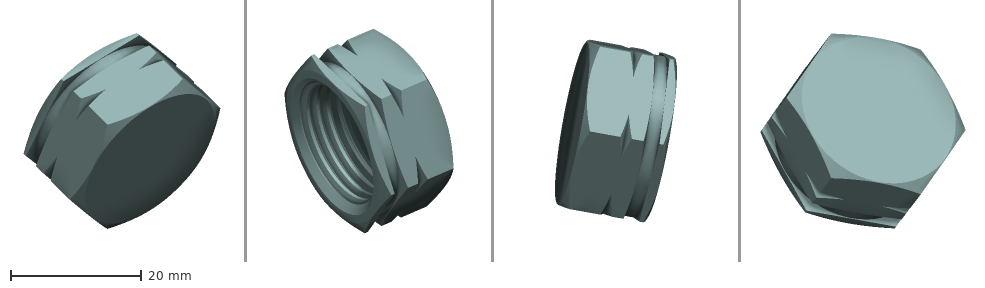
import cadquery as cq
import math

ACROSS_FLATS = 25.4
LENGTH = 13.72
CORNER_RADIUS = ACROSS_FLATS / 2 / math.cos(math.radians(30))
FACE_RADIUS = 12.6
OPEN_END_ANGLE = 26
CLOSED_END_ANGLE = 30

FLANGE_LENGTH = 1.6
GROOVE_END = 3.55
GROOVE_RADIUS = FACE_RADIUS
GROOVE_SHOULDER_ANGLE = 15

NOTCH_X = LENGTH / 2
NOTCH_RADIUS = 13.08
NOTCH_HALF_ANGLE = 30

DISC_FACE_X = 8.89
DISC_RADIUS = 9.53
DISC_THICKNESS = 1.6

BORE_RADIUS = 9.62
BORE_DEPTH = DISC_FACE_X + DISC_THICKNESS
MOUTH_RADIUS = 11.24
PITCH = 25.4 / 14
ROOT_RADIUS = 10.54
ROOT_FLAT = PITCH / 8
THREAD_HALF_ANGLE = 30
FIRST_ROOT_X = 1.08
LEAD_IN_TURNS = 2
RUN_OUT_TURNS = 1

CUT_MARGIN = 0.3


def rise(run, angle):
    """Height of a slope over a given run, for an angle in degrees."""
    return run * math.tan(math.radians(angle))


def revolve_about_x(points):
    """Revolve an outline of (x, radius) points a full turn about the X axis."""
    return cq.Workplane("XY").polyline(points).close().revolve(360, (0, 0, 0), (1, 0, 0))


def hex_blank():
    """Hexagonal bar with conical corner chamfers at both ends."""
    hexagon = cq.Workplane("YZ").polygon(6, 2 * CORNER_RADIUS).extrude(LENGTH)
    chamfer_height = CORNER_RADIUS - FACE_RADIUS
    envelope = revolve_about_x([
        (0, 0),
        (0, FACE_RADIUS),
        (rise(chamfer_height, OPEN_END_ANGLE), CORNER_RADIUS),
        (LENGTH - rise(chamfer_height, CLOSED_END_ANGLE), CORNER_RADIUS),
        (LENGTH, FACE_RADIUS),
        (LENGTH, 0),
    ])
    return hexagon.intersect(envelope)


def groove_cutter():
    """Ring with a square face at the flange and a sloped face at the long hexagon."""
    outer = CORNER_RADIUS + CUT_MARGIN
    return revolve_about_x([
        (FLANGE_LENGTH, GROOVE_RADIUS),
        (GROOVE_END, GROOVE_RADIUS),
        (GROOVE_END + rise(outer - GROOVE_RADIUS, GROOVE_SHOULDER_ANGLE), outer),
        (FLANGE_LENGTH, outer),
    ])


def notch_cutter():
    outer = CORNER_RADIUS + CUT_MARGIN
    half_width = rise(outer - NOTCH_RADIUS, NOTCH_HALF_ANGLE)
    return revolve_about_x([
        (NOTCH_X, NOTCH_RADIUS),
        (NOTCH_X + half_width, outer),
        (NOTCH_X - half_width, outer),
    ])


def bore_cutter():
    """Blind bore with a 45 degree lead-in at the mouth."""
    return revolve_about_x([
        (0, 0),
        (0, MOUTH_RADIUS),
        (MOUTH_RADIUS - BORE_RADIUS, BORE_RADIUS),
        (BORE_DEPTH, BORE_RADIUS),
        (BORE_DEPTH, 0),
    ])


def thread_cutter():
    """Trapezoid swept along a left-hand helix, laid along X and trimmed to the bore depth."""
    inner = BORE_RADIUS - CUT_MARGIN
    root_half = ROOT_FLAT / 2
    inner_half = root_half + rise(ROOT_RADIUS - inner, THREAD_HALF_ANGLE)
    start_x = FIRST_ROOT_X - LEAD_IN_TURNS * PITCH
    sweep_length = BORE_DEPTH - start_x + RUN_OUT_TURNS * PITCH
    helix = cq.Wire.makeHelix(PITCH, sweep_length, BORE_RADIUS, lefthand=True)
    profile = cq.Workplane("XZ").polyline([
        (inner, -inner_half),
        (ROOT_RADIUS, -root_half),
        (ROOT_RADIUS, root_half),
        (inner, inner_half),
    ]).close()
    coil = profile.sweep(cq.Workplane(obj=helix), isFrenet=True)
    coil = coil.rotate((0, 0, 0), (0, 0, 1), 90)
    coil = coil.rotate((0, 0, 0), (0, 1, 0), 90)
    coil = coil.translate((start_x, 0, 0))
    bore_envelope = cq.Workplane("YZ").circle(ROOT_RADIUS + CUT_MARGIN).extrude(BORE_DEPTH)
    return coil.intersect(bore_envelope)


def make_nut():
    blank = hex_blank().cut(groove_cutter()).cut(notch_cutter())
    return blank.cut(bore_cutter()).cut(thread_cutter())


def make_sealing_disc():
    face = cq.Workplane("YZ").workplane(offset=DISC_FACE_X)
    return face.circle(DISC_RADIUS).extrude(DISC_THICKNESS)


nut = make_nut()
sealing_disc = make_sealing_disc()

result = cq.Compound.makeCompound([nut.val(), sealing_disc.val()])